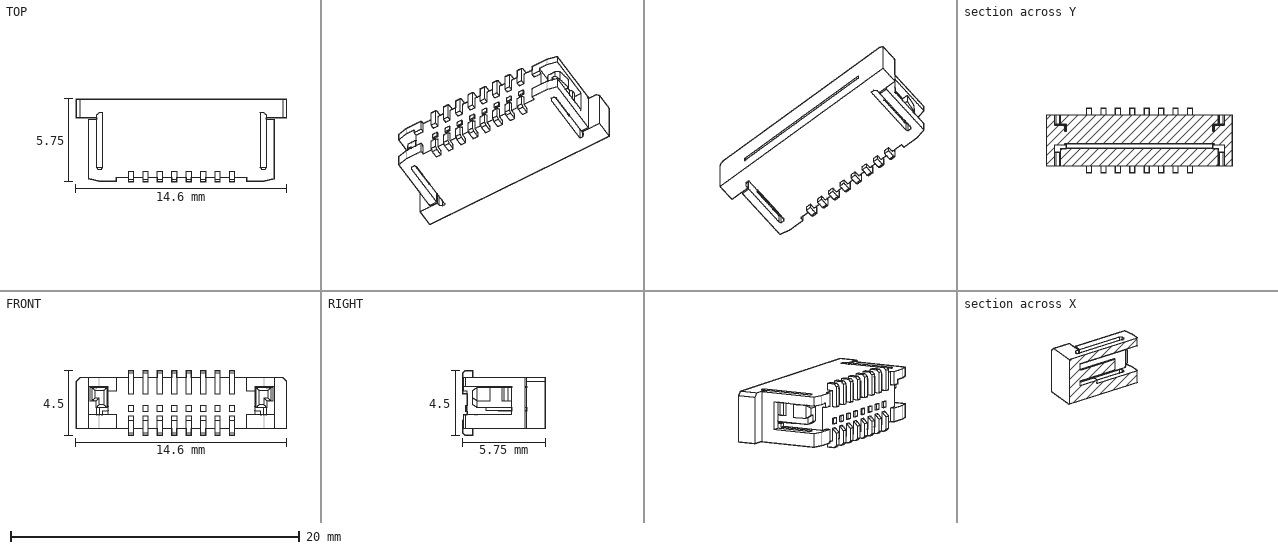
import cadquery as cq


depth = 5.75
housing_height = 3.55
housing_half_width = 6.45
bar_half_width = 7.3
bar_front_y = 4.44
bar_chamfer = 0.27

foot_front_y = 0.05
foot_inner_x = 4.51
foot_taper_x = 5.71
foot_taper_depth = 0.17
face_y = 0.31
upper_lip_z = 2.6

core_half_width = 5.09
channel_bottom_z = 0.97
channel_top_z = 2.91
bridge_front_y = 3.4
bridge_rear_y = 4.34
bridge_inner_x = 5.88

slot_inner_x = 5.48
slot_front_y = 0.87
slot_rear_y = 4.82
slot_front_chamfer_x = 0.08
slot_front_chamfer_y = 0.15
slot_rear_chamfer = 0.18
ledge_top_z = 1.22

cable_slot_bottom_z = 1.24
cable_slot_top_z = 1.54
cable_stop_y = 1.63
cable_step_y = 2.46
cable_step_height = 0.03

arm_bottom_z = 1.46
arm_top_z = 2.85
arm_inner_x = 5.18
arm_outer_x = 5.92
arm_tip_y = 0.7
arm_tip_length = 0.31
arm_tip_inset = 0.21
bump_bottom_z = 1.93
hook_front_x = 6.2
hook_rear_x = 6.34
hook_rear_y = 1.91
pad_outer_x = 6.07
pad_front_y = 2.73
pad_flat_front_y = 2.87
pad_flat_rear_y = 3.14
rib_top_z = 2.43

contact_count = 8
contact_pitch = 1.0
contact_width = 0.37
contact_length = 0.71
overall_height = 4.5
contact_overhang = (overall_height - housing_height) / 2
contact_chamfer = 0.17
upper_contact_end_z = 2.415
lower_contact_end_z = 0.88
nub_front_y = 0.21
nub_bottom_z = 1.19
nub_top_z = 1.59


def box(x_range, y_range, z_range):
    """Box spanning the given (low, high) ranges."""
    (x0, x1), (y0, y1), (z0, z1) = x_range, y_range, z_range
    return cq.Workplane("XY").box(x1 - x0, y1 - y0, z1 - z0, centered=False).translate((x0, y0, z0))


def plan_prism(points, z_range):
    """Prism with an XY outline between two heights."""
    bottom, top = z_range
    return cq.Workplane("XY").workplane(offset=bottom).polyline(points).close().extrude(top - bottom)


def both_ends(solid):
    """The solid at the +X end together with its mirror image."""
    return solid.union(solid.mirror("YZ"))


def make_housing():
    half_outline = [
        (0, face_y),
        (foot_inner_x, face_y),
        (foot_inner_x, foot_front_y),
        (foot_taper_x, foot_front_y),
        (housing_half_width, foot_front_y + foot_taper_depth),
        (housing_half_width, bridge_rear_y),
        (bridge_inner_x, bridge_rear_y),
        (bridge_inner_x, depth),
        (0, depth),
    ]
    housing = both_ends(plan_prism(half_outline, (0, housing_height)))
    bar = box((-bar_half_width, bar_half_width), (bar_front_y, depth), (0, housing_height))
    bar = bar.edges("|Y and >Z").chamfer(bar_chamfer)
    lip_clearance = box(
        (foot_inner_x, core_half_width), (0, face_y), (channel_bottom_z, upper_lip_z)
    )
    return housing.union(bar).cut(both_ends(lip_clearance))


def slot_outline():
    return [
        (slot_inner_x + slot_front_chamfer_x, slot_front_y),
        (bridge_inner_x - slot_front_chamfer_x, slot_front_y),
        (bridge_inner_x, slot_front_y + slot_front_chamfer_y),
        (bridge_inner_x, slot_rear_y - slot_rear_chamfer),
        (bridge_inner_x - slot_rear_chamfer, slot_rear_y),
        (slot_inner_x, slot_rear_y),
        (slot_inner_x, slot_front_y + slot_front_chamfer_y),
    ]


def make_side_openings():
    """Channel, plate slots and the bridge window at the +X end."""
    channel_z = (channel_bottom_z, channel_top_z)
    window = box((core_half_width, housing_half_width), (0, bridge_front_y), channel_z)
    rear_outline = [
        (core_half_width, bridge_front_y),
        (bridge_inner_x, bridge_front_y),
        (bridge_inner_x, slot_rear_y - slot_rear_chamfer),
        (bridge_inner_x - slot_rear_chamfer, slot_rear_y),
        (core_half_width, slot_rear_y),
    ]
    rear_channel = plan_prism(rear_outline, channel_z)
    ledge = box(
        (core_half_width, slot_inner_x), (bridge_front_y, slot_rear_y), (channel_bottom_z, ledge_top_z)
    )
    slots = plan_prism(slot_outline(), (0, housing_height))
    return window.union(rear_channel).cut(ledge).union(slots)


def make_cable_slot():
    x_range = (-core_half_width, core_half_width)
    slot = box(x_range, (cable_stop_y, depth), (cable_slot_bottom_z, cable_slot_top_z))
    step_z = (cable_slot_bottom_z, cable_slot_bottom_z + cable_step_height)
    return slot.cut(box(x_range, (cable_stop_y, cable_step_y), step_z))


def arm_tip(x_range, z_range):
    """Tapered nose ending an arm of the given rectangular section."""
    width = x_range[1] - x_range[0]
    height = z_range[1] - z_range[0]
    center = (sum(x_range) / 2, arm_tip_y, sum(z_range) / 2)
    return (
        cq.Workplane("XZ", origin=center)
        .rect(width - 2 * arm_tip_inset, height - 2 * arm_tip_inset)
        .workplane(offset=-arm_tip_length)
        .rect(width, height)
        .loft(ruled=True)
    )


def make_latch_arm():
    """Latch arm at the +X end, with hook, pad and the rib joining it to the core."""
    tip_rear_y = arm_tip_y + arm_tip_length
    arm_z = (arm_bottom_z, arm_top_z)
    bump_z = (bump_bottom_z, arm_top_z)
    shank = box((arm_inner_x, arm_outer_x), (tip_rear_y, bridge_front_y), arm_z)
    root = box((arm_inner_x, bridge_inner_x), (bridge_front_y, slot_rear_y), arm_z)
    hook_outline = [
        (arm_inner_x, tip_rear_y),
        (hook_front_x, tip_rear_y),
        (hook_rear_x, hook_rear_y),
        (arm_inner_x, hook_rear_y),
    ]
    pad_outline = [
        (arm_inner_x, pad_front_y),
        (arm_outer_x, pad_front_y),
        (pad_outer_x, pad_flat_front_y),
        (pad_outer_x, pad_flat_rear_y),
        (arm_outer_x, bridge_front_y),
        (arm_inner_x, bridge_front_y),
    ]
    rib = box(
        (core_half_width, arm_inner_x), (hook_rear_y, slot_rear_y), (cable_slot_top_z, rib_top_z)
    )
    arm = shank.union(root).union(rib)
    arm = arm.union(plan_prism(hook_outline, bump_z)).union(plan_prism(pad_outline, bump_z))
    arm = arm.union(arm_tip((arm_inner_x, arm_outer_x), arm_z))
    return arm.union(arm_tip((arm_inner_x, hook_front_x), bump_z))


def contact_prism(points):
    """Contact blade centred on X = 0 with a (Y, Z) side outline."""
    return cq.Workplane("YZ").polyline(points).close().extrude(contact_width / 2, both=True)


def make_contact():
    """Upper tail, lower tail and the nub between them."""
    top_z = housing_height + contact_overhang
    upper = contact_prism([
        (0, upper_contact_end_z),
        (0, top_z - contact_chamfer),
        (contact_chamfer, top_z),
        (contact_length, top_z),
        (contact_length, upper_contact_end_z),
    ])
    bottom_z = -contact_overhang
    lower = contact_prism([
        (0, bottom_z + contact_chamfer),
        (contact_chamfer, bottom_z),
        (contact_length, bottom_z),
        (contact_length, lower_contact_end_z),
        (face_y, lower_contact_end_z),
        (0, lower_contact_end_z - face_y),
    ])
    nub = box(
        (-contact_width / 2, contact_width / 2), (nub_front_y, contact_length), (nub_bottom_z, nub_top_z)
    )
    return upper.union(lower).union(nub)


result = make_housing().cut(both_ends(make_side_openings())).cut(make_cable_slot())
result = result.union(both_ends(make_latch_arm()))

contact = make_contact()
for index in range(contact_count):
    x = (index - (contact_count - 1) / 2) * contact_pitch
    result = result.union(contact.translate((x, 0, 0)))